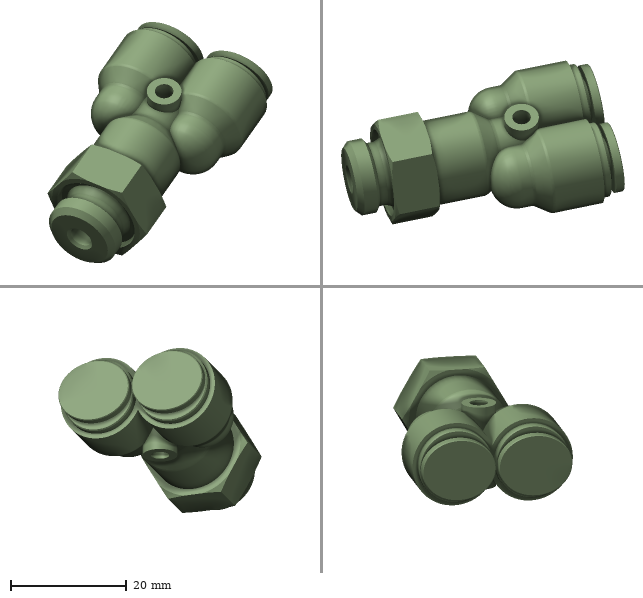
import cadquery as cq
import math


SOCKET_PITCH = 13.6
SOCKET_OFFSET = SOCKET_PITCH / 2
SIDES = (-1, 1)

LARGE_RADIUS = 14.9 / 2
SMALL_RADIUS = 11.0 / 2
TAPER_LENGTH = 2.95
TAPER_BLEND = 0.9
SELECT_MARGIN = 0.1
SOCKET_STRAIGHT = 9.0
SOCKET_NECK = 2.05
DOME_RADIUS = 4.6
STEM_STRAIGHT = 9.05

EYELET_RADIUS = 6.0 / 2
EYELET_HOLE_RADIUS = 3.2 / 2
EYELET_Y = 30.9

THREAD_RADIUS = 13.16 / 2
RELIEF_RADIUS = 11.2 / 2
TIP_CHAMFER = 1.0
THREAD_SHOULDER = 3.4
RELIEF_START = 4.1
RELIEF_END = 5.45
RELIEF_ROOT_RADIUS = 6.22
HEX_START = 6.0
HEX_LENGTH = 8.0
HEX_FLATS = 17.0
HEX_FACE_RADIUS = 17.3 / 2
HEX_CORNER_DROP = 0.45
RECESS_DEPTH = 1.0
RECESS_OUTER_RADIUS = 15.3 / 2
RECESS_FLOOR_RADIUS = 14.6 / 2
BORE_RADIUS = 4.0 / 2
BORE_MOUTH_RADIUS = 5.0 / 2
BORE_CHAMFER = BORE_MOUTH_RADIUS - BORE_RADIUS

COLLAR_RADIUS = 13.15 / 2
COLLAR_LENGTH = 1.55
COLLAR_CHAMFER = 0.2
SLEEVE_NECK_RADIUS = 7.5 / 2
SLEEVE_GAP = 0.8
FLANGE_THICKNESS = 1.55
FLANGE_WIDTH = 13.05
FLANGE_HEIGHT = 11.0
FLANGE_CHAMFER = 0.15

OVERALL_LENGTH = 45.95
FLANGE_START = OVERALL_LENGTH - FLANGE_THICKNESS
COLLAR_END = FLANGE_START - SLEEVE_GAP
SOCKET_END = COLLAR_END - COLLAR_LENGTH
SOCKET_TAPER_END = SOCKET_END - SOCKET_STRAIGHT
SOCKET_TAPER_START = SOCKET_TAPER_END - TAPER_LENGTH
DOME_START = SOCKET_TAPER_START - SOCKET_NECK
DOME_END = DOME_START - DOME_RADIUS
HEX_END = HEX_START + HEX_LENGTH
STEM_TAPER_START = HEX_END + STEM_STRAIGHT
STEM_TAPER_END = STEM_TAPER_START + TAPER_LENGTH
STEM_END = EYELET_Y


def revolve_about_y(profile):
    """Turn a closed (radius, y) profile, sketched in the XY plane, a full turn about the Y axis."""
    return profile.revolve(360, (0, 0, 0), (0, 1, 0))


def disc(radius, start, end):
    """Cylinder along Y between two stations."""
    return cq.Workplane("XZ", origin=(0, start, 0)).circle(radius).extrude(start - end)


def blend_taper(body, y_large, y_small):
    """Round both circular edges of a taper between the large and the small diameter."""
    for y, radius in ((y_large, LARGE_RADIUS), (y_small, SMALL_RADIUS)):
        low_corner = (-radius - SELECT_MARGIN, y - SELECT_MARGIN, -radius - SELECT_MARGIN)
        high_corner = (radius + SELECT_MARGIN, y + SELECT_MARGIN, radius + SELECT_MARGIN)
        around_edge = cq.selectors.BoxSelector(low_corner, high_corner, boundingbox=True)
        body = body.edges(around_edge).fillet(TAPER_BLEND)
    return body


def socket():
    """Socket barrel: large cylinder, taper, small neck and a rounded end."""
    tip_radius = SMALL_RADIUS - DOME_RADIUS
    half_way = DOME_RADIUS * math.sqrt(0.5)
    dome_mid = (tip_radius + half_way, DOME_START - half_way)
    profile = (
        cq.Workplane("XY")
        .moveTo(0, DOME_END)
        .lineTo(tip_radius, DOME_END)
        .threePointArc(dome_mid, (SMALL_RADIUS, DOME_START))
        .lineTo(SMALL_RADIUS, SOCKET_TAPER_START)
        .lineTo(LARGE_RADIUS, SOCKET_TAPER_END)
        .lineTo(LARGE_RADIUS, SOCKET_END)
        .lineTo(0, SOCKET_END)
        .close()
    )
    return blend_taper(revolve_about_y(profile), SOCKET_TAPER_END, SOCKET_TAPER_START)


def stem():
    """Central stem: large cylinder next to the hexagon, taper, small neck between the sockets."""
    profile = (
        cq.Workplane("XY")
        .moveTo(0, HEX_END)
        .lineTo(LARGE_RADIUS, HEX_END)
        .lineTo(LARGE_RADIUS, STEM_TAPER_START)
        .lineTo(SMALL_RADIUS, STEM_TAPER_END)
        .lineTo(SMALL_RADIUS, STEM_END)
        .lineTo(0, STEM_END)
        .close()
    )
    return blend_taper(revolve_about_y(profile), STEM_TAPER_START, STEM_TAPER_END)


def eyelet_cylinder(radius):
    """Cylinder along Z at the eyelet, as tall as the sockets."""
    return (
        cq.Workplane("XY", origin=(0, EYELET_Y, -LARGE_RADIUS))
        .circle(radius)
        .extrude(2 * LARGE_RADIUS)
    )


def make_housing():
    body = stem()
    for side in SIDES:
        body = body.union(socket().translate((side * SOCKET_OFFSET, 0, 0)))
    body = body.union(eyelet_cylinder(EYELET_RADIUS))
    return body.cut(eyelet_cylinder(EYELET_HOLE_RADIUS))


def make_hexagon():
    """Hexagon with a flat on top, its corners turned to a cone at both ends."""
    corner_radius = HEX_FLATS / math.sqrt(3)
    prism = (
        cq.Workplane("XZ", origin=(0, HEX_START, 0))
        .polygon(6, 2 * corner_radius)
        .extrude(-HEX_LENGTH)
    )
    envelope = revolve_about_y(
        cq.Workplane("XY")
        .moveTo(0, HEX_START)
        .lineTo(HEX_FACE_RADIUS, HEX_START)
        .lineTo(corner_radius, HEX_START + HEX_CORNER_DROP)
        .lineTo(corner_radius, HEX_END - HEX_CORNER_DROP)
        .lineTo(HEX_FACE_RADIUS, HEX_END)
        .lineTo(0, HEX_END)
        .close()
    )
    return prism.intersect(envelope)


def make_stud():
    """Hexagon with a seal recess, thread relief, thread and a through bore."""
    recess_floor = HEX_START + RECESS_DEPTH
    recess = revolve_about_y(
        cq.Workplane("XY")
        .moveTo(0, HEX_START)
        .lineTo(RECESS_OUTER_RADIUS, HEX_START)
        .lineTo(RECESS_FLOOR_RADIUS, recess_floor)
        .lineTo(0, recess_floor)
        .close()
    )
    spigot = revolve_about_y(
        cq.Workplane("XY")
        .lineTo(THREAD_RADIUS - TIP_CHAMFER, 0)
        .lineTo(THREAD_RADIUS, TIP_CHAMFER)
        .lineTo(THREAD_RADIUS, THREAD_SHOULDER)
        .lineTo(RELIEF_RADIUS, RELIEF_START)
        .lineTo(RELIEF_RADIUS, RELIEF_END)
        .lineTo(RELIEF_ROOT_RADIUS, recess_floor)
        .lineTo(0, recess_floor)
        .close()
    )
    bore = revolve_about_y(
        cq.Workplane("XY")
        .lineTo(BORE_MOUTH_RADIUS, 0)
        .lineTo(BORE_RADIUS, BORE_CHAMFER)
        .lineTo(BORE_RADIUS, HEX_END)
        .lineTo(0, HEX_END)
        .close()
    )
    return make_hexagon().cut(recess).union(spigot).cut(bore)


def make_collar(side):
    """Plain ring seated on the socket's open end."""
    collar = disc(COLLAR_RADIUS, SOCKET_END, COLLAR_END).faces(">Y").chamfer(COLLAR_CHAMFER)
    return collar.translate((side * SOCKET_OFFSET, 0, 0))


def make_sleeve(side):
    """Release sleeve: round neck carrying an oval push flange."""
    neck = disc(SLEEVE_NECK_RADIUS, COLLAR_END, FLANGE_START)
    flange = (
        cq.Workplane("XZ", origin=(0, FLANGE_START, 0))
        .ellipse(FLANGE_WIDTH / 2, FLANGE_HEIGHT / 2)
        .extrude(-FLANGE_THICKNESS)
        .faces(">Y")
        .chamfer(FLANGE_CHAMFER)
    )
    return neck.union(flange).translate((side * SOCKET_OFFSET, 0, 0))


housing = make_housing()
stud = make_stud()
collars = [make_collar(side) for side in SIDES]
sleeves = [make_sleeve(side) for side in SIDES]

result = cq.Compound.makeCompound(
    [housing.val(), stud.val()] + [body.val() for body in collars + sleeves]
)